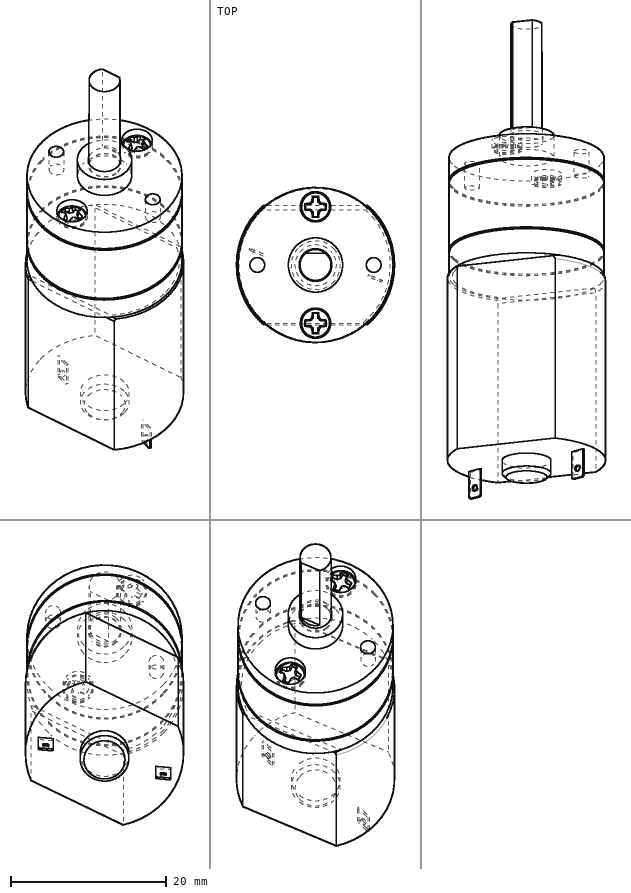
import cadquery as cq
import math


gearbox_diameter = 20.0
cover_plate_height = 3.3
gear_case_height = 9.4
base_plate_height = 3.4
gearbox_height = cover_plate_height + gear_case_height + base_plate_height
seam_width = 0.2
seam_depth = 0.1
seam_cutter_margin = 1.0

boss_diameter = 7.0
boss_height = 3.0
bore_diameter = 4.2
bore_depth = 1.0
shaft_diameter = 4.0
shaft_top = 18.0
shaft_round_length = 0.5
shaft_flat_offset = 1.5

pitch_radius = 7.5
mount_hole_diameter = 1.9
mount_hole_depth = cover_plate_height
screw_pocket_diameter = 3.9
screw_pocket_depth = 1.2
screw_head_diameter = 3.6
screw_rim_height = 0.2
screw_dome_height = 0.8
cross_arm_length = 2.9
cross_arm_width = 1.0
cross_core_width = 1.75
cross_depth = 0.9
cross_taper = 12.0

can_diameter = 20.4
can_width = 15.4
can_bottom = -41.0
can_height = -gearbox_height - can_bottom
can_chamfer_height = 0.6
can_chamfer_inset = 0.2

rear_boss_diameter = 6.3
rear_boss_height = 2.25
rear_boss_chamfer = 0.5

tab_x = 7.65
tab_y = 1.7
tab_width = 1.95
tab_thickness = 0.25
tab_length = 3.7
tab_angle = -22.0
tab_corner = 0.2
tab_hole_diameter = 0.8
tab_hole_drop = 2.4
tab_root = 0.5


def cylinder(diameter, bottom, height):
    return cq.Workplane("XY").workplane(offset=bottom).circle(diameter / 2).extrude(height)


def make_gearbox():
    gearbox = cylinder(gearbox_diameter, -gearbox_height, gearbox_height)
    upper_seam = -cover_plate_height
    lower_seam = upper_seam - gear_case_height
    for seam in (upper_seam, lower_seam):
        ring = cylinder(gearbox_diameter + seam_cutter_margin, seam - seam_width / 2, seam_width)
        core = cylinder(gearbox_diameter - 2 * seam_depth, seam - seam_width / 2, seam_width)
        gearbox = gearbox.cut(ring.cut(core))
    holes = (
        cq.Workplane("XY")
        .pushPoints([(-pitch_radius, 0), (pitch_radius, 0)])
        .circle(mount_hole_diameter / 2)
        .extrude(-mount_hole_depth)
    )
    return gearbox.cut(holes)


def make_screw_head():
    """Domed cross-recess head standing on the floor of its pocket, centred on Z."""
    radius = screw_head_diameter / 2
    floor = -screw_pocket_depth
    rim = floor + screw_rim_height
    crown = rim + screw_dome_height
    sphere_radius = (radius**2 + screw_dome_height**2) / (2 * screw_dome_height)
    mid_angle = math.asin(radius / sphere_radius) / 2
    mid_point = (
        sphere_radius * math.sin(mid_angle),
        crown - sphere_radius * (1 - math.cos(mid_angle)),
    )
    head = (
        cq.Workplane("XZ")
        .moveTo(0, floor)
        .lineTo(radius, floor)
        .lineTo(radius, rim)
        .threePointArc(mid_point, (0, crown))
        .close()
        .revolve(360, (0, 0, 0), (0, 1, 0))
    )
    recess_plane = cq.Workplane("XY").workplane(offset=crown)
    arm = recess_plane.rect(cross_arm_length, cross_arm_width).extrude(-cross_depth, taper=cross_taper)
    core = recess_plane.rect(cross_core_width, cross_core_width).extrude(-cross_depth, taper=cross_taper)
    for cutter, angle in ((arm, 0), (arm, 90), (core, 45)):
        head = head.cut(cutter.rotate((0, 0, 0), (0, 0, 1), angle))
    return head


def add_screws(body):
    pocket = cylinder(screw_pocket_diameter, -screw_pocket_depth, screw_pocket_depth)
    head = make_screw_head()
    for y in (-pitch_radius, pitch_radius):
        body = body.cut(pocket.translate((0, y, 0))).union(head.translate((0, y, 0)))
    return body


def make_output_shaft():
    boss = cylinder(boss_diameter, 0, boss_height)
    boss = boss.cut(cylinder(bore_diameter, boss_height - bore_depth, bore_depth))
    shaft = cylinder(shaft_diameter, 0, shaft_top)
    flat_bottom = boss_height + shaft_round_length
    flat_cut = (
        cq.Workplane("XY")
        .box(shaft_diameter, shaft_diameter, shaft_top, centered=(True, False, False))
        .translate((0, shaft_flat_offset, flat_bottom))
    )
    return boss.union(shaft.cut(flat_cut))


def make_can():
    can = cylinder(can_diameter, can_bottom, can_height)
    flats = (
        cq.Workplane("XY")
        .workplane(offset=can_bottom)
        .rect(can_diameter, can_width)
        .extrude(can_height)
    )
    can = can.intersect(flats)
    top_edges = can.faces(">Z").edges().vals()
    chamfered = can.val().chamfer(can_chamfer_inset, can_chamfer_height, top_edges)
    return cq.Workplane(chamfered)


def make_rear_boss():
    boss = cylinder(rear_boss_diameter, can_bottom - rear_boss_height, rear_boss_height)
    return boss.faces("<Z").chamfer(rear_boss_chamfer)


def make_tab():
    """Terminal tab hanging from the can, turned about the Z axis."""
    tab = (
        cq.Workplane("XY")
        .box(tab_width, tab_thickness, tab_length + tab_root, centered=(True, True, False))
        .translate((0, 0, -tab_length))
        .faces("<Z")
        .edges("|Y")
        .chamfer(tab_corner)
    )
    hole = (
        cq.Workplane("XZ")
        .center(0, -tab_hole_drop)
        .circle(tab_hole_diameter / 2)
        .extrude(tab_thickness, both=True)
    )
    return tab.cut(hole).rotate((0, 0, 0), (0, 0, 1), tab_angle)


result = add_screws(make_gearbox()).union(make_output_shaft())
result = result.union(make_can()).union(make_rear_boss())
for side in (-1, 1):
    result = result.union(make_tab().translate((side * tab_x, -side * tab_y, can_bottom)))